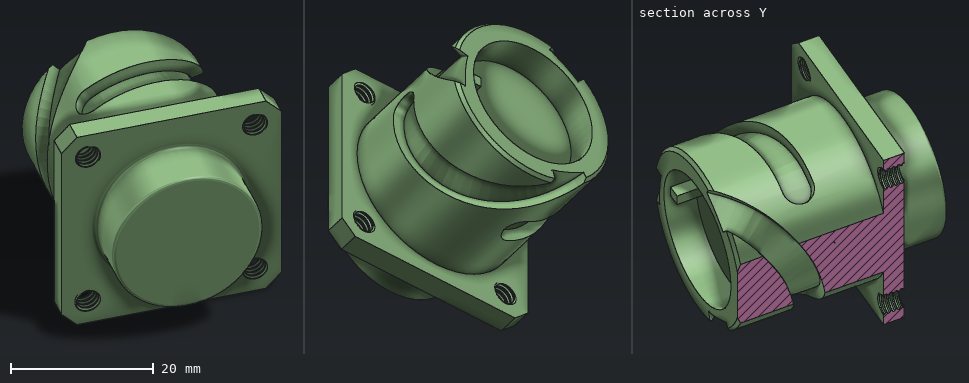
import cadquery as cq
import math

total_length = 33.8

flange_side = 32.53
flange_front = 23.02
flange_thickness = 3.28
flange_corner_chamfer = 2.3
flange_back = flange_front + flange_thickness

barrel_radius = 13.65
spigot_radius = 11.05
mouth_chamfer = 0.5
spigot_end_fillet = 0.5
neck_fillet = 0.65

socket_radius = 10.38
socket_depth = 5.0
key_width = 1.7
key_height = 2.05
key_length = 4.0
key_overlap = 0.35

hole_offset = 12.35
thread_minor_radius = 1.6
thread_depth = 0.3
thread_pitch = 0.8
thread_crest_width = 0.15
thread_root_width = 0.27
thread_overlap = 0.07

groove_count = 3
groove_width = 4.8
groove_floor_radius = 11.8
groove_end_x = 12.07
groove_end_angle = 152.8
groove_straight_run = 1.35
groove_arc_radius = 30.77
groove_arc_sweep = 60.0
groove_arc_roll = 8.5
groove_facets = 25
cutter_height = 2 * (barrel_radius - groove_floor_radius)


def make_flange():
    return (
        cq.Workplane("YZ", origin=(flange_front, 0, 0))
        .rect(flange_side, flange_side)
        .extrude(flange_thickness)
        .edges("|X")
        .chamfer(flange_corner_chamfer)
    )


def make_barrel():
    return cq.Workplane("YZ").circle(barrel_radius).extrude(flange_front).faces("<X").chamfer(mouth_chamfer)


def make_spigot():
    """Spigot turned as one profile, with a concave fillet at the flange and a rounded end."""
    fillet_outer = spigot_radius + neck_fillet
    fillet_end = flange_back + neck_fillet
    neck_bend = neck_fillet * (1 - math.sqrt(0.5))
    end_bend = spigot_end_fillet * (1 - math.sqrt(0.5))
    return (
        cq.Workplane("XY")
        .moveTo(flange_front, 0)
        .lineTo(flange_front, fillet_outer)
        .lineTo(flange_back, fillet_outer)
        .threePointArc((flange_back + neck_bend, spigot_radius + neck_bend), (fillet_end, spigot_radius))
        .lineTo(total_length - spigot_end_fillet, spigot_radius)
        .threePointArc(
            (total_length - end_bend, spigot_radius - end_bend),
            (total_length, spigot_radius - spigot_end_fillet),
        )
        .lineTo(total_length, 0)
        .close()
        .revolve(360, (0, 0, 0), (1, 0, 0))
    )


def make_socket():
    return cq.Workplane("YZ").circle(socket_radius).extrude(socket_depth)


def make_key():
    """Bar standing on the socket floor against the +Y wall."""
    return cq.Workplane("XY", origin=(socket_depth - key_length, socket_radius - key_height, 0)).box(
        key_length + key_overlap,
        key_height + key_overlap,
        key_width,
        centered=(False, False, True),
    )


def radial_direction(angle):
    """Unit vector away from the X axis, this many radians from +Z toward -Y."""
    return cq.Vector(0, -math.sin(angle), math.cos(angle))


def groove_section(run, x, turn):
    """Rectangular section square to the groove path.

    run is the distance round the floor from the groove's end, and turn is the path's heading in radians.
    """
    angle = math.radians(groove_end_angle) - run / groove_floor_radius
    outward = radial_direction(angle)
    around = radial_direction(angle + math.pi / 2)
    across = cq.Vector(math.cos(turn), 0, 0) - around * math.sin(turn)
    roll = math.radians(groove_arc_roll) * turn / math.radians(groove_arc_sweep)
    side = (across * math.cos(roll) + outward * math.sin(roll)) * (groove_width / 2)
    rise = (outward * math.cos(roll) - across * math.sin(roll)) * cutter_height
    floor = outward * groove_floor_radius + cq.Vector(x, 0, 0)
    corners = [floor - side, floor + side, floor + side + rise, floor - side + rise]
    return cq.Wire.makePolygon(corners, close=True)


def make_groove():
    """Cutter for one groove: a faceted channel closed by a round end."""
    step = math.radians(groove_arc_sweep) / groove_facets
    sections = [groove_section(0, groove_end_x, 0)]
    for i in range(groove_facets + 1):
        turn = step * i
        run = groove_straight_run + groove_arc_radius * math.sin(turn)
        x = groove_end_x - groove_arc_radius * (1 - math.cos(turn))
        sections.append(groove_section(run, x, turn))
    channel = cq.Solid.makeLoft(sections, True)
    outward = radial_direction(math.radians(groove_end_angle))
    end_point = outward * groove_floor_radius + cq.Vector(groove_end_x, 0, 0)
    round_end = cq.Solid.makeCylinder(groove_width / 2, cutter_height, end_point, outward)
    return cq.Workplane(channel.fuse(round_end))


def make_threaded_hole():
    """Through-hole cutter along +X from the origin, with a helical thread of tapered section in its wall."""
    origin = cq.Vector(0, 0, 0)
    axis = cq.Vector(1, 0, 0)
    bore = cq.Solid.makeCylinder(thread_minor_radius, flange_thickness, origin, axis)
    trim = cq.Solid.makeCylinder(2 * thread_minor_radius, flange_thickness, origin, axis)

    helix_length = flange_thickness + 2 * thread_pitch
    helix = cq.Wire.makeHelix(thread_pitch, helix_length, thread_minor_radius, axis * -thread_pitch, axis)
    start = helix.startPoint()
    outward = cq.Vector(0, start.y, start.z).normalized()
    inner = start - outward * thread_overlap
    outer = start + outward * thread_depth
    half_base = axis * ((thread_pitch - thread_crest_width) / 2)
    half_root = axis * (thread_root_width / 2)
    corners = [inner - half_base, inner + half_base, outer + half_root, outer - half_root]
    profile = cq.Wire.makePolygon(corners, close=True)
    thread = cq.Solid.sweep(profile, [], helix, True, True)
    return cq.Workplane(bore.fuse(thread.intersect(trim)))


body = make_barrel().union(make_flange()).union(make_spigot())
body = body.cut(make_socket()).union(make_key())

groove = make_groove()
for i in range(groove_count):
    body = body.cut(groove.rotate((0, 0, 0), (1, 0, 0), i * 360 / groove_count))

upper_hole = make_threaded_hole()
lower_hole = upper_hole.rotate((0, 0, 0), (1, 0, 0), 180)
for y in (-hole_offset, hole_offset):
    body = body.cut(upper_hole.translate((flange_front, y, hole_offset)))
    body = body.cut(lower_hole.translate((flange_front, y, -hole_offset)))

result = body